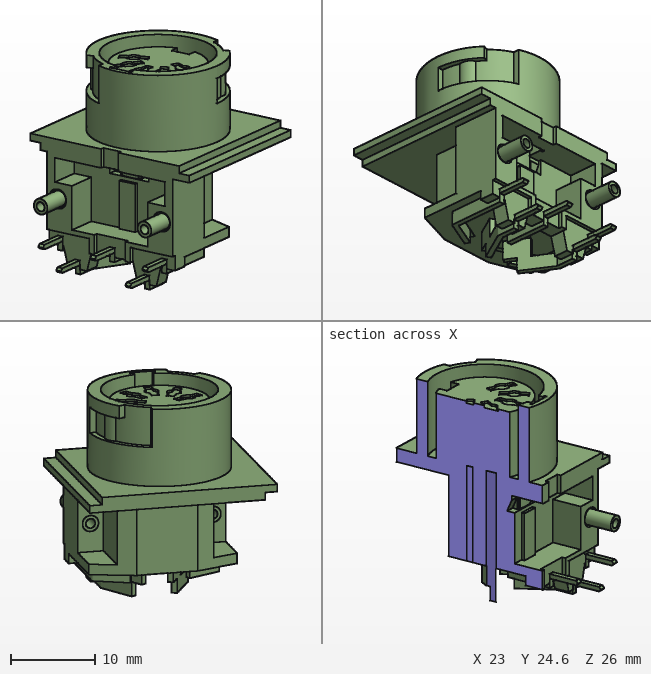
import cadquery as cq
import math


flange_length = 23.0
flange_back = 11.0
front_face = -10.0
flange_step = 1.48
layer_thickness = 0.9

body_half_width = 9.1
body_bottom = -12.2
side_block_back = -3.48
core_half_width = 5.93
core_back = 3.5
core_corner_y = 1.66
core_back_half_width = 3.75
base_top = -10.92

ring_radius = 8.53
ring_top = 9.52
bore_radius = 6.97
insert_radius = 5.9
insert_top = 8.32
key_half_width = 1.25
key_floor_y = 4.63

bayonet_radius = 7.77
bayonet_bottom = 4.8
bayonet_roof = 7.95
bayonet_side_x = -3.02
entry_corner = (-5.72, -5.3)
entry_slope = 19.0
detent_radius = 1.55
detent_distance = 6.53
detent_angle = 205.7

recess_depth = 0.5
pocket_ceiling = -2.37
pocket_ledge = -5.4
pocket_back = -6.0
upper_pocket_half_width = 7.93
lower_pocket_half_width = 5.45
column_half_width = 1.15
column_top = -4.91
column_depth = 0.42
window_half_width = 2.8
window_bottom = -4.42
window_back = -5.62
channel_front = -7.77
channel_lip_half_width = 1.53
channel_lip_depth = 0.29
catch_inner_x = 1.48
catch_top = -2.89
catch_depth = 0.68

leg_back = -7.51
leg_front = front_face + recess_depth
leg_bottom = -13.4
leg_step_top = -11.52
rib_inner_x = 2.24
rib_outer_x = 3.0
tab_top_outer_x = 7.02
tab_bottom_outer_x = 6.4
tab_bottom_inner_x = 3.65
tab_bottom = -15.83

peg_radius = 1.0
peg_bore_radius = 0.57
peg_tip = -13.57
peg_x = 7.51
peg_z = -7.44
peg_countersink = 0.23

contact_circle = 3.5
sheet = 0.7
strip_height = 1.8
blade_length = 3.38
blade_top = 0.0
upper_strip_top = body_bottom
lower_strip_top = -14.7
pin_height = 0.6
pin_length = 4.05
tip_length = 0.3
lower_row_setback = 0.1
slot_length = 3.55
slot_width = 0.94
slot_eye_radius = 0.85
slot_depth = 0.25

contacts = [
    (180, 25, 4.42, upper_strip_top),
    (225, 60, 5.05, lower_strip_top),
    (270, 90, 0.0, upper_strip_top),
    (315, 120, 5.05, lower_strip_top),
    (0, 155, 4.42, upper_strip_top),
]


def block(x0, x1, y0, y1, z0, z1):
    """Box between two opposite corners."""
    return cq.Workplane("XY").box(x1 - x0, y1 - y0, z1 - z0, centered=False).translate((x0, y0, z0))


def centered_block(half_width, y0, y1, z0, z1):
    """Box that is symmetric about X = 0."""
    return block(-half_width, half_width, y0, y1, z0, z1)


def disc(radius, z0, z1):
    """Upright cylinder on the socket axis."""
    return cq.Workplane("XY").workplane(offset=z0).circle(radius).extrude(z1 - z0)


def prism(points, z0, z1):
    """Upright prism over a plan outline."""
    return cq.Workplane("XY").workplane(offset=z0).polyline(points).close().extrude(z1 - z0)


def mirrored(solid):
    """A shape together with its mirror image across X = 0."""
    return solid.union(solid.mirror("YZ"))


def flange():
    left = -flange_length / 2
    right = flange_length / 2
    upper = block(left, right - flange_step, front_face, flange_back, -layer_thickness, 0)
    lower = block(left + flange_step, right, front_face, flange_back, -2 * layer_thickness, -layer_thickness)
    return upper.union(lower)


def rear_outline(half_width):
    """Rear part in plan: both rear corners lie on one slanted line per side."""
    slope = (core_back - core_corner_y) / (body_half_width - core_back_half_width)
    corner_y = core_corner_y + slope * (body_half_width - half_width)
    return [
        (-half_width, side_block_back),
        (half_width, side_block_back),
        (half_width, corner_y),
        (core_back_half_width, core_back),
        (-core_back_half_width, core_back),
        (-half_width, corner_y),
    ]


def body():
    front = centered_block(body_half_width, front_face, side_block_back, body_bottom, 0)
    core = prism(rear_outline(core_half_width), body_bottom, 0)
    base = prism(rear_outline(body_half_width), body_bottom, base_top)
    return front.union(core).union(base)


def legs():
    bar = centered_block(body_half_width, front_face, leg_back, leg_bottom, body_bottom)
    tab = (
        cq.Workplane("XZ", origin=(0, leg_front, 0))
        .moveTo(rib_outer_x, leg_bottom)
        .lineTo(tab_top_outer_x, leg_bottom)
        .lineTo(tab_bottom_outer_x, tab_bottom)
        .lineTo(tab_bottom_inner_x, tab_bottom)
        .close()
        .extrude(leg_front - leg_back)
    )
    return bar.union(mirrored(tab))


def leg_recesses():
    """Steps in the front face that leave one narrow rib on each side of the middle."""
    middle = centered_block(rib_inner_x, front_face, leg_front, leg_bottom, base_top)
    side = block(rib_outer_x, body_half_width, front_face, leg_front, leg_bottom, leg_step_top)
    return middle.union(mirrored(side))


def front_pocket():
    notch = centered_block(key_half_width, front_face, leg_front, pocket_ceiling, 0)
    upper = centered_block(upper_pocket_half_width, front_face, pocket_back, pocket_ledge, pocket_ceiling)
    lower = centered_block(lower_pocket_half_width, front_face, pocket_back, base_top, pocket_ledge)
    window = centered_block(window_half_width, pocket_back, window_back, window_bottom, pocket_ceiling)
    catch = (
        cq.Workplane("YZ", origin=(catch_inner_x, 0, 0))
        .polyline([
            (window_back, catch_top),
            (window_back, window_bottom),
            (window_back + catch_depth, window_bottom),
        ])
        .close()
        .extrude(window_half_width - catch_inner_x)
    )
    return notch.union(upper).union(lower).union(window).union(mirrored(catch))


def pocket_column():
    return centered_block(column_half_width, pocket_back - column_depth, pocket_back, base_top, column_top)


def shield_channel():
    """T-shaped channel from the ring top down into the front pocket."""
    stem = centered_block(column_half_width, channel_front, window_back, window_bottom, ring_top)
    lip_back = channel_front + channel_lip_depth
    lip = centered_block(channel_lip_half_width, channel_front, lip_back, pocket_ceiling, ring_top)
    return stem.union(lip)


def insert():
    """Round carrier with a keyway; behind the channel its round front continues below the flange."""
    carrier = disc(insert_radius, 0, insert_top)
    lower_front = disc(insert_radius, window_bottom, 0).intersect(
        centered_block(column_half_width, -insert_radius, 0, window_bottom, 0)
    )
    keyway = centered_block(key_half_width, key_floor_y, insert_radius, 0, insert_top)
    return carrier.cut(keyway).union(lower_front)


def bayonet_slot():
    """L-shaped slot in the ring: a quarter-round run with a raised detent, and an entry from the top."""
    reach = 2 * ring_radius
    run = block(-reach, bayonet_side_x, -reach, 0, bayonet_bottom, bayonet_roof)
    entry_x, entry_y = entry_corner
    slope = math.tan(math.radians(entry_slope))
    entry = prism(
        [
            (bayonet_side_x, -reach),
            (bayonet_side_x, entry_y + slope * (bayonet_side_x - entry_x)),
            (-reach, entry_y - slope * (reach + entry_x)),
            (-reach, -reach),
        ],
        bayonet_bottom,
        ring_top,
    )
    angle = math.radians(detent_angle)
    detent = disc(detent_radius, bayonet_bottom, bayonet_roof).translate(
        (detent_distance * math.cos(angle), detent_distance * math.sin(angle), 0)
    )
    return run.union(entry).cut(disc(bayonet_radius, bayonet_bottom, ring_top)).cut(detent)


def contact_position(circle_angle):
    angle = math.radians(circle_angle)
    return contact_circle * math.cos(angle), contact_circle * math.sin(angle)


def bend_position(circle_angle, blade_angle, slant_length):
    x, y = contact_position(circle_angle)
    angle = math.radians(blade_angle)
    return x - slant_length * math.cos(angle), y - slant_length * math.sin(angle)


def contact_slot(circle_angle, blade_angle):
    """Shallow plug entry: a long slot with a round eye."""
    x, y = contact_position(circle_angle)
    floor = insert_top - slot_depth
    bar = cq.Workplane("XY").workplane(offset=floor).rect(slot_length, slot_width).extrude(slot_depth)
    eye = disc(slot_eye_radius, floor, insert_top)
    return bar.union(eye).rotate((0, 0, 0), (0, 0, 1), blade_angle).translate((x, y, 0))


def lead_slot(layout):
    """Open slot through a leg where the contact strip comes out."""
    pin_x, _ = bend_position(*layout[:3])
    top = layout[3]
    return block(pin_x - sheet / 2, pin_x + sheet / 2, front_face, leg_back, top - strip_height, top)


def peg_seat(x):
    """Peg hole through the side of the body, countersunk at the front face."""
    hole = peg_rod(x, peg_radius, front_face)
    rim = (
        cq.Workplane("XZ", origin=(x, front_face, peg_z))
        .circle(peg_radius + peg_countersink)
        .extrude(-peg_countersink, taper=45)
    )
    return hole.union(rim)


def housing(filled_spaces):
    part = flange().union(body()).union(legs()).union(disc(ring_radius, 0, ring_top))
    part = part.cut(disc(bore_radius, 0, ring_top))
    part = part.cut(leg_recesses()).cut(front_pocket()).cut(shield_channel())
    part = part.union(insert()).union(pocket_column())
    for turn in (0, 180):
        part = part.cut(bayonet_slot().rotate((0, 0, 0), (0, 0, 1), turn))
    for layout in contacts:
        circle_angle, blade_angle = layout[:2]
        part = part.cut(contact_slot(circle_angle, blade_angle)).cut(lead_slot(layout))
    for x in (-peg_x, peg_x):
        part = part.cut(peg_seat(x))
    for space in filled_spaces:
        part = part.cut(space)
    return part


def peg_rod(x, radius, front_end):
    """Cylinder along Y from the given front end to the back of the side block."""
    return (
        cq.Workplane("XZ", origin=(x, side_block_back, peg_z))
        .circle(radius)
        .extrude(side_block_back - front_end)
    )


def mounting_peg(x):
    return peg_rod(x, peg_radius, peg_tip).cut(peg_rod(x, peg_bore_radius, peg_tip))


def solder_pin(x, start_y, top):
    """Square pin towards -Y with a wedge tip."""
    middle = top - pin_height / 2
    end_y = start_y - pin_length
    return (
        cq.Workplane("YZ", origin=(x - sheet / 2, 0, 0))
        .polyline([
            (start_y, top),
            (end_y + tip_length, top),
            (end_y, middle),
            (end_y + tip_length, top - pin_height),
            (start_y, top - pin_height),
        ])
        .close()
        .extrude(sheet)
    )


def contact(circle_angle, blade_angle, slant_length, strip_top):
    """Upright strip from the pin to a bend and on to the pole, with a blade rising into the insert."""
    x, y = contact_position(circle_angle)
    start_y = leg_front
    if strip_top == lower_strip_top:
        start_y += lower_row_setback
    strip_bottom = strip_top - strip_height
    pin_x, bend_y = bend_position(circle_angle, blade_angle, slant_length)

    def along_blade(start, end, z0, z1):
        flat = block(start, end, -sheet / 2, sheet / 2, z0, z1)
        return flat.rotate((0, 0, 0), (0, 0, 1), blade_angle).translate((x, y, 0))

    part = block(pin_x - sheet / 2, pin_x + sheet / 2, start_y, bend_y, strip_bottom, strip_top)
    if slant_length > 0:
        bend = disc(sheet / 2, strip_bottom, strip_top).translate((pin_x, bend_y, 0))
        part = part.union(bend).union(along_blade(-slant_length, 0, strip_bottom, strip_top))
    part = part.union(along_blade(-blade_length / 2, blade_length / 2, strip_top, blade_top))
    return part.union(solder_pin(pin_x, start_y, strip_top))


pegs = [mounting_peg(x) for x in (-peg_x, peg_x)]
contact_bodies = [contact(*layout) for layout in contacts]
housing_body = housing(contact_bodies)

result = cq.Compound.makeCompound(
    [housing_body.val()] + [peg.val() for peg in pegs] + [piece.val() for piece in contact_bodies]
)